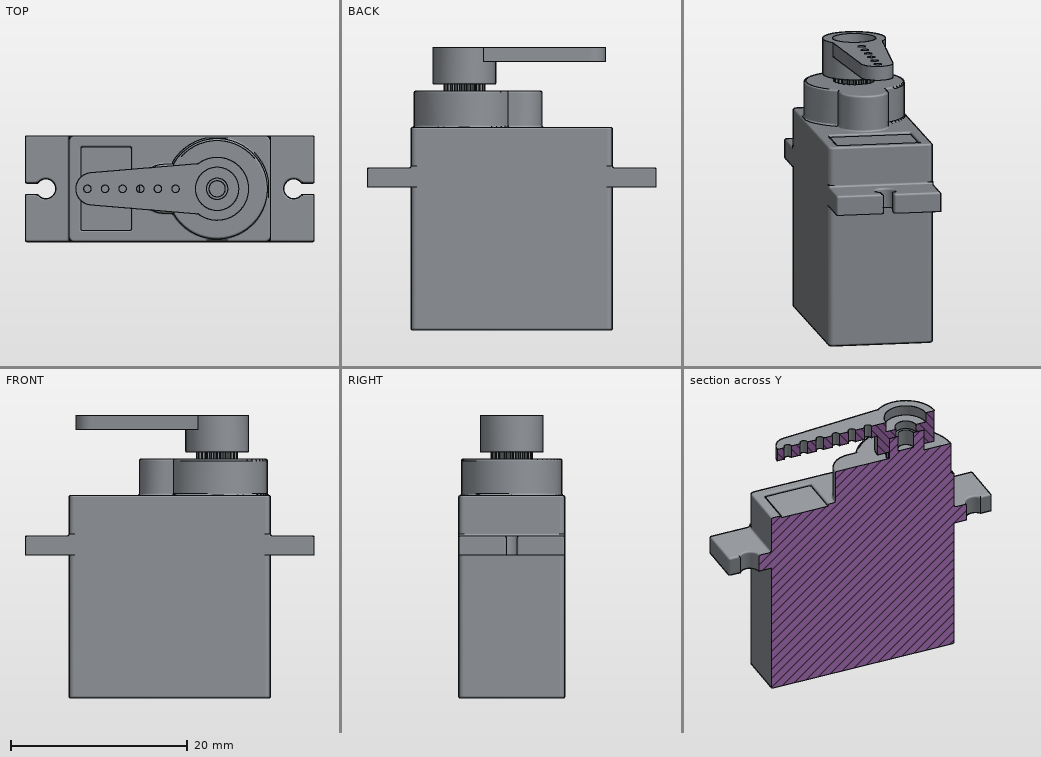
import cadquery as cq
import math

EDGE_ROUND = 0.23
TOLERANCE = 0.03

CASE_LENGTH = 22.85
CASE_WIDTH = 12.05
CASE_CORNER = 0.6
SEAM_Z = 5.55
FLANGE_BOTTOM_Z = 16.25
CASE_TOP_Z = 23.03

FLANGE_LENGTH = 32.8
FLANGE_THICKNESS = 2.2
FLANGE_TOP_Z = FLANGE_BOTTOM_Z + FLANGE_THICKNESS
FLANGE_ROOT_Z = FLANGE_TOP_Z + EDGE_ROUND
SCREW_HOLE_X = 14.07
SCREW_HOLE_RADIUS = 1.1
SCREW_SLOT_WIDTH = 1.25

LABEL_LENGTH = 17.97
LABEL_BOTTOM_Z = 3.05
LABEL_TOP_Z = 16.05
LABEL_CORNER = 0.5
LABEL_DEPTH = 0.15

RECESS_LENGTH = 5.75
RECESS_WIDTH = 9.45
RECESS_X = -7.2
RECESS_DEPTH = 0.25
RECESS_CORNER = 0.15
RECESS_RIM_ROUND = EDGE_ROUND

AXIS_X = 5.38
HOUSING_TOP_Z = 27.15
HOUSING_RADIUS = 5.7
LOBE_X = -0.65
LOBE_RADIUS = 2.8
FOOT_ROUND = 0.2

SPLINE_TOP_Z = 29.85
SPLINE_RADIUS = 2.33
SPLINE_ROOT_RADIUS = 2.1
SPLINE_TEETH = 21
SHAFT_HOLE_RADIUS = 0.92
SHAFT_HOLE_DEPTH = 1.97

HORN_TOP_Z = 32.1
HUB_BOTTOM_Z = 27.95
HUB_RADIUS = 3.58
HUB_EDGE_ROUND = 0.13
ARM_THICKNESS = 1.6
ARM_TIP_X = -10.65
ARM_TIP_RADIUS = 1.85
ARM_TAPER = math.radians(4.8)
ARM_HOLE_RADIUS = 0.43
ARM_HOLE_COUNT = 6
ARM_HOLE_PITCH = 2.0
FIRST_ARM_HOLE_X = -9.35
COUNTERBORE_RADIUS = 2.45
COUNTERBORE_DEPTH = 1.25
HORN_BORE_RADIUS = 1.2


def case_block(bottom_z, top_z):
    """Case-sized block with rounded vertical corners."""
    return (
        cq.Workplane("XY", origin=(0, 0, bottom_z))
        .rect(CASE_LENGTH, CASE_WIDTH)
        .extrude(top_z - bottom_z)
        .edges("|Z").fillet(CASE_CORNER)
    )


def flange():
    """Flange plate whose top curves up into the case ends, with an open screw slot at each end."""
    half_flange = FLANGE_LENGTH / 2
    half_case = CASE_LENGTH / 2
    arc_offset = EDGE_ROUND * (1 - math.sqrt(0.5))
    plate = (
        cq.Workplane("XZ", origin=(0, CASE_WIDTH / 2, 0))
        .moveTo(-half_flange, FLANGE_BOTTOM_Z)
        .lineTo(half_flange, FLANGE_BOTTOM_Z)
        .lineTo(half_flange, FLANGE_TOP_Z)
        .lineTo(half_case + EDGE_ROUND, FLANGE_TOP_Z)
        .threePointArc((half_case + arc_offset, FLANGE_TOP_Z + arc_offset), (half_case, FLANGE_ROOT_Z))
        .lineTo(-half_case, FLANGE_ROOT_Z)
        .threePointArc(
            (-half_case - arc_offset, FLANGE_TOP_Z + arc_offset),
            (-half_case - EDGE_ROUND, FLANGE_TOP_Z),
        )
        .lineTo(-half_flange, FLANGE_TOP_Z)
        .close()
        .extrude(CASE_WIDTH)
    )
    slot_length = half_flange - SCREW_HOLE_X
    for side in (-1, 1):
        slot = (
            cq.Workplane("XY", origin=(side * (SCREW_HOLE_X + slot_length / 2), 0, FLANGE_BOTTOM_Z))
            .rect(slot_length, SCREW_SLOT_WIDTH)
            .extrude(FLANGE_THICKNESS)
        )
        hole = (
            cq.Workplane("XY", origin=(side * SCREW_HOLE_X, 0, FLANGE_BOTTOM_Z))
            .circle(SCREW_HOLE_RADIUS)
            .extrude(FLANGE_THICKNESS)
        )
        plate = plate.cut(slot).cut(hole)
    plate = plate.edges("|Z and (<X or >X)").fillet(EDGE_ROUND)
    for side in (-1, 1):
        upper_edges = cq.selectors.BoxSelector(
            (side * (half_case + EDGE_ROUND + TOLERANCE), -CASE_WIDTH, FLANGE_TOP_Z - TOLERANCE),
            (side * FLANGE_LENGTH, CASE_WIDTH, FLANGE_TOP_Z + TOLERANCE),
        )
        plate = plate.edges(upper_edges).fillet(EDGE_ROUND)
    return plate


def top_case():
    """Upper case block standing on the flange."""
    upper = case_block(FLANGE_ROOT_Z, CASE_TOP_Z).faces(">Z").edges().fillet(EDGE_ROUND)
    return upper.union(flange())


def cut_top_recess(body):
    """Shallow pocket in the case top with a rounded rim."""
    pocket = (
        cq.Workplane("XY", origin=(RECESS_X, 0, CASE_TOP_Z - RECESS_DEPTH))
        .rect(RECESS_LENGTH, RECESS_WIDTH)
        .extrude(RECESS_DEPTH)
        .edges("|Z").fillet(RECESS_CORNER)
    )
    rim = cq.selectors.BoxSelector(
        (RECESS_X - RECESS_LENGTH / 2 - TOLERANCE, -RECESS_WIDTH / 2 - TOLERANCE, CASE_TOP_Z - TOLERANCE),
        (RECESS_X + RECESS_LENGTH / 2 + TOLERANCE, RECESS_WIDTH / 2 + TOLERANCE, CASE_TOP_Z + TOLERANCE),
        boundingbox=True,
    )
    return body.cut(pocket).edges(rim).fillet(RECESS_RIM_ROUND)


def label():
    """Thin panel lying flush in the -Y side."""
    height = LABEL_TOP_Z - LABEL_BOTTOM_Z
    return (
        cq.Workplane("XZ", origin=(0, -CASE_WIDTH / 2 + LABEL_DEPTH, LABEL_BOTTOM_Z + height / 2))
        .rect(LABEL_LENGTH, height)
        .extrude(LABEL_DEPTH)
        .edges("|Y").fillet(LABEL_CORNER)
    )


def gear_housing():
    """Round housing with a side lobe, its foot flaring onto the flat case top."""
    base_z = CASE_TOP_Z - EDGE_ROUND
    flat_length = CASE_LENGTH - 2 * EDGE_ROUND
    flat_width = CASE_WIDTH - 2 * EDGE_ROUND
    height = HOUSING_TOP_Z - base_z
    drum = cq.Workplane("XY", origin=(AXIS_X, 0, base_z)).circle(HOUSING_RADIUS).extrude(height)
    lobe = cq.Workplane("XY", origin=(LOBE_X, 0, base_z)).circle(LOBE_RADIUS).extrude(height)
    bridge = (
        cq.Workplane("XY", origin=((LOBE_X + AXIS_X) / 2, 0, base_z))
        .rect(AXIS_X - LOBE_X, 2 * LOBE_RADIUS)
        .extrude(height)
    )
    housing = drum.union(lobe).union(bridge).faces(">Z").edges().fillet(EDGE_ROUND)
    slab_margin = 2 * FOOT_ROUND
    slab = (
        cq.Workplane("XY", origin=(0, 0, base_z))
        .rect(CASE_LENGTH + slab_margin, CASE_WIDTH + slab_margin)
        .extrude(EDGE_ROUND)
    )
    foot_edges = cq.selectors.BoxSelector(
        (LOBE_X - LOBE_RADIUS - TOLERANCE, -HOUSING_RADIUS - TOLERANCE, CASE_TOP_Z - TOLERANCE),
        (AXIS_X + HOUSING_RADIUS + TOLERANCE, HOUSING_RADIUS + TOLERANCE, CASE_TOP_Z + TOLERANCE),
        boundingbox=True,
    )
    housing = slab.union(housing).edges(foot_edges).fillet(FOOT_ROUND)
    flat_top = (
        cq.Workplane("XY", origin=(0, 0, CASE_TOP_Z))
        .rect(flat_length, flat_width)
        .extrude(HOUSING_TOP_Z - CASE_TOP_Z)
    )
    return housing.intersect(flat_top)


def spline_shaft(base_z, height):
    """Toothed shaft; also used to cut its matching socket in the horn."""
    tip_half = 0.15
    root_half = 0.35
    points = []
    pitch = 2 * math.pi / SPLINE_TEETH
    for tooth in range(SPLINE_TEETH):
        for fraction, radius in (
            (-root_half, SPLINE_ROOT_RADIUS), (-tip_half, SPLINE_RADIUS),
            (tip_half, SPLINE_RADIUS), (root_half, SPLINE_ROOT_RADIUS),
        ):
            angle = (tooth + fraction) * pitch
            points.append((radius * math.cos(angle), radius * math.sin(angle)))
    return (
        cq.Workplane("XY", origin=(AXIS_X, 0, base_z))
        .polyline(points).close().extrude(height)
    )


def servo():
    """Complete servo; the panel joints stay as face boundaries on its smooth sides."""
    cover = case_block(0, SEAM_Z).faces("<Z").edges().fillet(EDGE_ROUND)
    middle = case_block(SEAM_Z, FLANGE_BOTTOM_Z)
    shell = cut_top_recess(top_case()).union(gear_housing())
    shell = shell.union(spline_shaft(HOUSING_TOP_Z, SPLINE_TOP_Z - HOUSING_TOP_Z))
    body = cover.union(middle, clean=False).union(shell, clean=False)
    body = body.union(label(), clean=False)
    shaft_hole = (
        cq.Workplane("XY", origin=(AXIS_X, 0, SPLINE_TOP_Z - SHAFT_HOLE_DEPTH))
        .circle(SHAFT_HOLE_RADIUS)
        .extrude(SHAFT_HOLE_DEPTH)
    )
    return body.cut(shaft_hole, clean=False)


def horn_arm():
    """Tapered arm whose flanks are tangent to its round tip."""
    tip_centre_x = ARM_TIP_X + ARM_TIP_RADIUS
    tangent_x = tip_centre_x - ARM_TIP_RADIUS * math.sin(ARM_TAPER)
    tangent_y = ARM_TIP_RADIUS * math.cos(ARM_TAPER)
    join_y = tangent_y + (AXIS_X - tangent_x) * math.tan(ARM_TAPER)
    return (
        cq.Workplane("XY", origin=(0, 0, HORN_TOP_Z - ARM_THICKNESS))
        .moveTo(AXIS_X, -join_y)
        .lineTo(tangent_x, -tangent_y)
        .threePointArc((ARM_TIP_X, 0), (tangent_x, tangent_y))
        .lineTo(AXIS_X, join_y)
        .close()
        .extrude(ARM_THICKNESS)
    )


def horn():
    """Single-arm horn whose hub fits over the spline."""
    hub_height = HORN_TOP_Z - HUB_BOTTOM_Z
    hub = cq.Workplane("XY", origin=(AXIS_X, 0, HUB_BOTTOM_Z)).circle(HUB_RADIUS).extrude(hub_height)
    body = hub.faces("<Z").edges().fillet(HUB_EDGE_ROUND).union(horn_arm())
    arm_holes = (
        cq.Workplane("XY", origin=(0, 0, HORN_TOP_Z - ARM_THICKNESS))
        .pushPoints([(FIRST_ARM_HOLE_X + i * ARM_HOLE_PITCH, 0) for i in range(ARM_HOLE_COUNT)])
        .circle(ARM_HOLE_RADIUS)
        .extrude(ARM_THICKNESS)
    )
    bore = cq.Workplane("XY", origin=(AXIS_X, 0, HUB_BOTTOM_Z)).circle(HORN_BORE_RADIUS).extrude(hub_height)
    counterbore = (
        cq.Workplane("XY", origin=(AXIS_X, 0, HORN_TOP_Z - COUNTERBORE_DEPTH))
        .circle(COUNTERBORE_RADIUS)
        .extrude(COUNTERBORE_DEPTH)
    )
    socket = spline_shaft(HUB_BOTTOM_Z, SPLINE_TOP_Z - HUB_BOTTOM_Z)
    return body.cut(arm_holes).cut(bore).cut(counterbore).cut(socket)


result = cq.Compound.makeCompound([servo().val(), horn().val()])